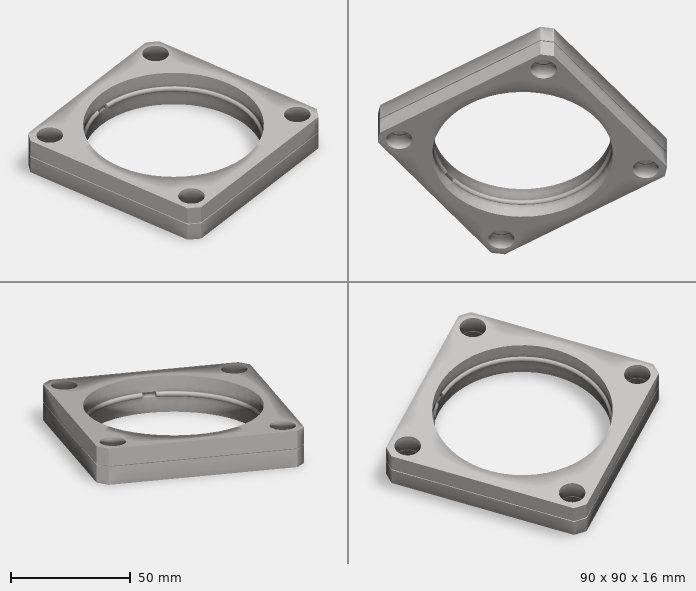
import cadquery as cq

side = 90.0
height = 16.0
corner_chamfer = 4.05

seam = 0.45
plate_thickness = (height - seam) / 2

bore_diameter = 75.4
bolt_hole_diameter = 11.1
bolt_spacing = 73.8

ring_section_radius = 1.2
ring_gap = 6.0


def make_plate(bottom_z):
    """Square plate with chamfered corners, a central bore and four bolt holes."""
    blank = (
        cq.Workplane("XY", origin=(0, 0, bottom_z))
        .rect(side, side)
        .extrude(plate_thickness)
        .edges("|Z")
        .chamfer(corner_chamfer)
    )
    bored = blank.faces(">Z").workplane().hole(bore_diameter)
    return (
        bored.faces(">Z")
        .workplane()
        .rect(bolt_spacing, bolt_spacing, forConstruction=True)
        .vertices()
        .hole(bolt_hole_diameter)
    )


def make_ring():
    """Full ring centred on the bore wall at the middle of the seam."""
    return cq.Workplane(cq.Solid.makeTorus(bore_diameter / 2, ring_section_radius))


lower_plate = make_plate(-height / 2)
upper_plate = make_plate(seam / 2)
ring = make_ring()

gap_cutter = cq.Workplane("XY").box(side, ring_gap, height)
split_ring = ring.cut(gap_cutter)

result = lower_plate.union(upper_plate).cut(ring).union(split_ring)